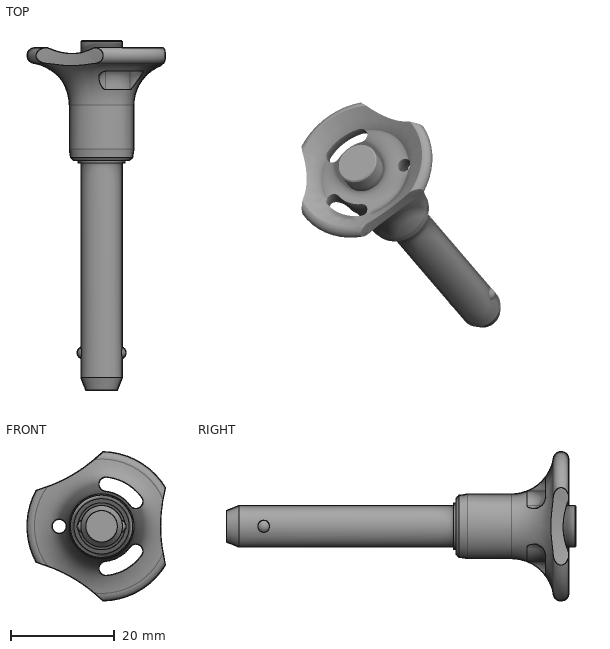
import cadquery as cq
import math

length = 67.55

pin_diameter = 8.05
pin_radius = pin_diameter / 2
button_chamfer = 0.3
tip_radius = 3.05
tip_taper_length = 2.4
ball_radius = 1.2
ball_reach = 4.7
ball_depth = 60.3

rim_diameter = 28.85
rim_radius = rim_diameter / 2
rim_back_depth = 1.4
rim_thickness = 2.9
body_diameter = 12.5
body_radius = body_diameter / 2
body_end_depth = 21.0
nose_radius = 6.0
nose_depth = 22.6
nose_end_radius = 5.35
nose_end_depth = 23.25
collar_radius = 4.5
collar_end_depth = 23.65
dish_floor_radius = 9.05
dish_floor_depth = 4.25

lobe_count = 3
lobe_pitch = 360 / lobe_count
scallop_half_angle = 31.2
scallop_floor = 11.4
opening_circle_radius = 8.2
opening_width = 2.7
slot_half_angle = 24
slot_angles = (60, -60)
hole_angle = 180

rim_round = rim_thickness / 2
rim_front_depth = rim_back_depth + rim_thickness
flare_radius = rim_radius - body_radius
flare_end_depth = rim_front_depth + flare_radius


def polar(radius, angle):
    """Point (X, Z) at an angle from +X towards +Z."""
    return (radius * math.cos(math.radians(angle)), radius * math.sin(math.radians(angle)))


def along_pin(outline):
    """Extrude an XZ outline through the full length of the pin, towards -Y."""
    return outline.extrude(length)


def make_handle():
    """Revolved handle: dished back, round rim, flare, body and collar."""
    flat_radius = rim_radius - rim_round
    flare_drop = math.sqrt(flare_radius**2 - (rim_radius - flat_radius)**2)
    flare_start = (flat_radius, -(flare_end_depth - flare_drop))
    flare_middle = (
        rim_radius - flare_radius * math.cos(math.radians(45)),
        -flare_end_depth + flare_radius * math.sin(math.radians(45)),
    )
    profile = (
        cq.Workplane("XY")
        .moveTo(0, -dish_floor_depth)
        .lineTo(dish_floor_radius, -dish_floor_depth)
        .lineTo(flat_radius, -rim_back_depth)
        .threePointArc((rim_radius, -rim_back_depth - rim_round), flare_start)
        .threePointArc(flare_middle, (body_radius, -flare_end_depth))
        .lineTo(body_radius, -body_end_depth)
        .lineTo(nose_radius, -nose_depth)
        .lineTo(nose_end_radius, -nose_end_depth)
        .lineTo(collar_radius, -nose_end_depth)
        .lineTo(collar_radius, -collar_end_depth)
        .lineTo(0, -collar_end_depth)
        .close()
    )
    return profile.revolve(360, (0, 0, 0), (0, 1, 0))


def scallop(angle):
    """Cutter leaving a shallow concave edge between two lobes."""
    outer_radius = 2 * rim_radius
    outline = (
        cq.Workplane("XZ")
        .moveTo(*polar(rim_radius, angle - scallop_half_angle))
        .threePointArc(polar(scallop_floor, angle), polar(rim_radius, angle + scallop_half_angle))
        .lineTo(*polar(outer_radius, angle + scallop_half_angle))
        .lineTo(*polar(outer_radius, angle - scallop_half_angle))
        .close()
    )
    return along_pin(outline)


def curved_slot(angle):
    """Cutter for a round-ended slot curved about the pin axis."""
    inner = opening_circle_radius - opening_width / 2
    outer = opening_circle_radius + opening_width / 2
    start = angle - slot_half_angle
    end = angle + slot_half_angle
    band = (
        cq.Workplane("XZ")
        .moveTo(*polar(inner, start))
        .threePointArc(polar(inner, angle), polar(inner, end))
        .lineTo(*polar(outer, end))
        .threePointArc(polar(outer, angle), polar(outer, start))
        .close()
    )
    return along_pin(band).union(round_hole(start)).union(round_hole(end))


def round_hole(angle):
    """Cutter for a round hole on the opening circle."""
    centre = polar(opening_circle_radius, angle)
    return along_pin(cq.Workplane("XZ").center(*centre).circle(opening_width / 2))


def make_pin():
    """Pin with its push button, tapered tip and two locking balls."""
    profile = (
        cq.Workplane("XY")
        .moveTo(0, 0)
        .lineTo(pin_radius - button_chamfer, 0)
        .lineTo(pin_radius, -button_chamfer)
        .lineTo(pin_radius, -(length - tip_taper_length))
        .lineTo(tip_radius, -length)
        .lineTo(0, -length)
        .close()
    )
    pin = profile.revolve(360, (0, 0, 0), (0, 1, 0))
    for side in (-1, 1):
        centre = (side * (ball_reach - ball_radius), -ball_depth, 0)
        pin = pin.union(cq.Workplane("XY").sphere(ball_radius).translate(centre))
    return pin


handle = make_handle()
for index in range(lobe_count):
    handle = handle.cut(scallop(index * lobe_pitch))
for slot_angle in slot_angles:
    handle = handle.cut(curved_slot(slot_angle))
handle = handle.cut(round_hole(hole_angle))

result = handle.union(make_pin())